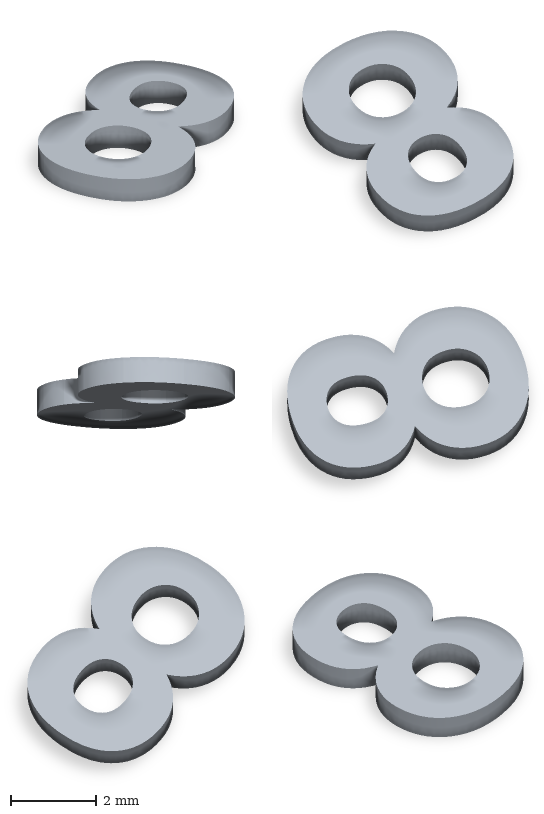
import cadquery as cq

height = 5.68
thickness = 0.6
top_y = height / 2
bottom_y = -height / 2

upper_half_width = 1.755
upper_side_y = 1.3
lower_half_width = 1.87
lower_side_y = -1.23
waist = (0.995, 0.085)

bottom_control_x = 0.845
lower_lobe_control_below_y = -1.955
lower_lobe_control_above_y = -0.785
waist_control_below = (1.42, -0.1)
waist_control_above = (1.37, 0.265)
upper_lobe_control_below_y = 0.89
upper_lobe_control_above_y = 2.02
top_control_x = 0.825


def mirror_point(point):
    return (-point[0], point[1])


def add_curve_pair(sketch, start, first_control, second_control, end):
    """Add two tangent quadratic curves that join midway between their controls."""
    joint = (
        (first_control[0] + second_control[0]) / 2,
        (first_control[1] + second_control[1]) / 2,
    )
    sketch = sketch.bezier([start, first_control, joint])
    return sketch.bezier([joint, second_control, end])


def symmetric_prism(right_side):
    """Extrude a closed loop from the curve pairs of its right side, bottom to top."""
    left_side = [[mirror_point(point) for point in reversed(pair)] for pair in reversed(right_side)]
    start = right_side[0][0]
    sketch = cq.Workplane("XY", origin=(0, 0, -thickness / 2)).moveTo(*start)
    for pair in right_side + left_side:
        sketch = add_curve_pair(sketch, *pair)
    return sketch.close().extrude(thickness)


def rounded_hole(half_width, bottom, side_y, top, end_control_x, control_below_y, control_above_y):
    """Oval cutter, widest at side_y, with one control height below and one above it."""
    side = (half_width, side_y)
    return symmetric_prism([
        [(0, bottom), (end_control_x, bottom), (half_width, control_below_y), side],
        [side, (half_width, control_above_y), (end_control_x, top), (0, top)],
    ])


lower_side = (lower_half_width, lower_side_y)
upper_side = (upper_half_width, upper_side_y)
body = symmetric_prism([
    [(0, bottom_y), (bottom_control_x, bottom_y), (lower_half_width, lower_lobe_control_below_y), lower_side],
    [lower_side, (lower_half_width, lower_lobe_control_above_y), waist_control_below, waist],
    [waist, waist_control_above, (upper_half_width, upper_lobe_control_below_y), upper_side],
    [upper_side, (upper_half_width, upper_lobe_control_above_y), (top_control_x, top_y), (0, top_y)],
])

upper_hole = rounded_hole(
    half_width=0.65,
    bottom=0.51,
    side_y=1.23,
    top=1.95,
    end_control_x=0.29,
    control_below_y=0.89,
    control_above_y=1.59,
)
lower_hole = rounded_hole(
    half_width=0.765,
    bottom=-1.95,
    side_y=-1.185,
    top=-0.37,
    end_control_x=0.335,
    control_below_y=-1.51,
    control_above_y=-0.8,
)

result = body.cut(upper_hole).cut(lower_hole)